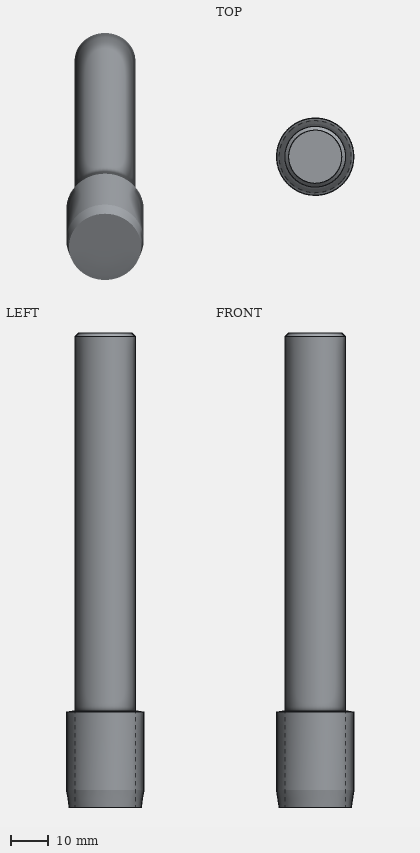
import cadquery as cq

total_height = 125.0
pin_radius = 8.0
pin_chamfer = 1.0
sleeve_radius = 10.19
sleeve_height = 25.4
sleeve_top_radius = 8.6
sleeve_top_taper_height = 0.2
sleeve_bottom_radius = 9.5
sleeve_lead_in_height = 4.5


def make_pin():
    """Straight round pin with a chamfered upper end."""
    return (
        cq.Workplane("XY")
        .circle(pin_radius)
        .extrude(total_height)
        .faces(">Z")
        .chamfer(pin_chamfer)
    )


def make_sleeve():
    """Collar around the pin, with a tapered lead-in below and a shallow conical top."""
    return (
        cq.Workplane("XZ")
        .moveTo(pin_radius, 0)
        .lineTo(sleeve_bottom_radius, 0)
        .lineTo(sleeve_radius, sleeve_lead_in_height)
        .lineTo(sleeve_radius, sleeve_height - sleeve_top_taper_height)
        .lineTo(sleeve_top_radius, sleeve_height)
        .lineTo(pin_radius, sleeve_height)
        .close()
        .revolve(360, (0, 0, 0), (0, 1, 0))
    )


pin = make_pin()
sleeve = make_sleeve()
result = cq.Compound.makeCompound([pin.val(), sleeve.val()])